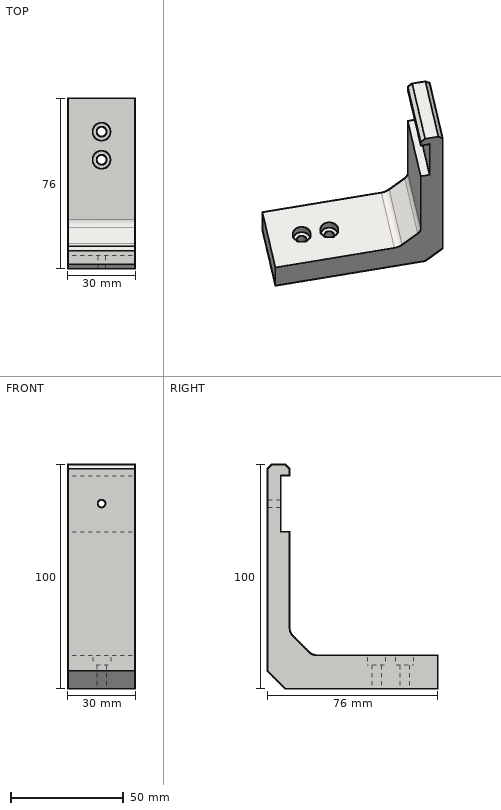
import cadquery as cq

width = 30.0
length = 76.0
height = 100.0
foot_thickness = 15.0
wall_thickness = 10.0

heel_chamfer = 8.0
tip_chamfer = 2.0
gusset_leg = 10.0
gusset_radius = 5.0

lip_height = 5.0
recess_height = 25.0
recess_depth = 4.0
recess_top = height - lip_height
recess_bottom = recess_top - recess_height

wall_hole_diameter = 3.3
wall_hole_height = (recess_top + recess_bottom) / 2
screw_diameter = 4.3
counterbore_diameter = 8.0
counterbore_depth = 4.4
screw_pitch = 12.5
rear_screw_inset = 14.9
rear_screw_y = length - rear_screw_inset
screw_positions = [(0, rear_screw_y - screw_pitch), (0, rear_screw_y)]


def make_body():
    """L-shaped side profile in the YZ plane, extruded symmetrically about X = 0."""
    profile = [
        (heel_chamfer, 0),
        (length, 0),
        (length, foot_thickness),
        (wall_thickness + gusset_leg, foot_thickness),
        (wall_thickness, foot_thickness + gusset_leg),
        (wall_thickness, recess_bottom),
        (wall_thickness - recess_depth, recess_bottom),
        (wall_thickness - recess_depth, recess_top),
        (wall_thickness, recess_top),
        (wall_thickness, height - tip_chamfer),
        (wall_thickness - tip_chamfer, height),
        (tip_chamfer, height),
        (0, height - tip_chamfer),
        (0, heel_chamfer),
    ]
    return cq.Workplane("YZ").polyline(profile).close().extrude(width / 2, both=True)


def edge_along_width(y, z):
    """Selector for the edge running across the width at the given profile corner."""
    return cq.selectors.NearestToPointSelector((0, y, z))


def round_gusset(body):
    """Blend both ends of the sloping gusset into the foot and the wall."""
    foot_end = edge_along_width(wall_thickness + gusset_leg, foot_thickness)
    wall_end = edge_along_width(wall_thickness, foot_thickness + gusset_leg)
    return body.edges(foot_end + wall_end).fillet(gusset_radius)


def drill_foot(body):
    """Counterbored screw holes through the foot, entered from its upper face."""
    return (
        body.copyWorkplane(cq.Workplane("XY", origin=(0, 0, foot_thickness)))
        .pushPoints(screw_positions)
        .cboreHole(screw_diameter, counterbore_diameter, counterbore_depth, depth=foot_thickness)
    )


def drill_wall(body):
    """Plain hole through the wall at the middle of the recess."""
    drill = (
        cq.Workplane("XZ")
        .center(0, wall_hole_height)
        .circle(wall_hole_diameter / 2)
        .extrude(-wall_thickness)
    )
    return body.cut(drill)


result = drill_wall(drill_foot(round_gusset(make_body())))